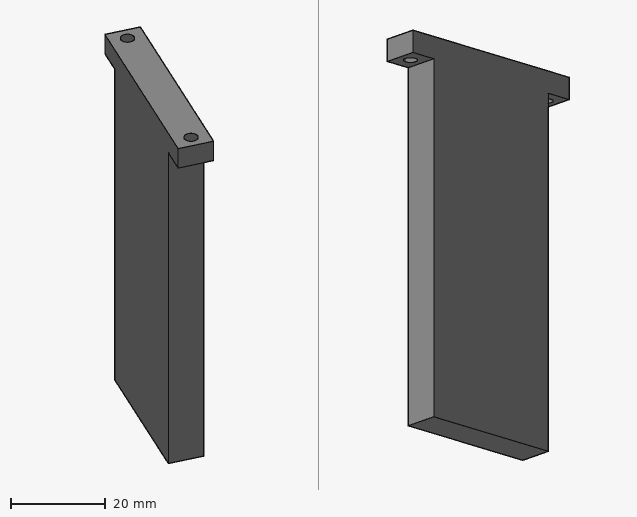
import cadquery as cq

thickness = 8.0
head_width = 45.0
head_height = 5.0
blade_width = 33.0
total_height = 85.0

hole_diameter = 3.0
ear_length = (head_width - blade_width) / 2
hole_edge_distance = ear_length / 2
hole_spacing = head_width - 2 * hole_edge_distance

blade_height = total_height - head_height


def make_blade():
    """Plain rectangular blade standing on the XY plane."""
    return cq.Workplane("XY").box(blade_width, thickness, blade_height, centered=(True, True, False))


def make_head():
    """Wide bar on top of the blade, drilled through both ears."""
    return (
        cq.Workplane("XY", origin=(0, 0, blade_height))
        .box(head_width, thickness, head_height, centered=(True, True, False))
        .faces(">Z")
        .workplane()
        .rarray(hole_spacing, 1, 2, 1)
        .hole(hole_diameter)
    )


result = make_blade().union(make_head())